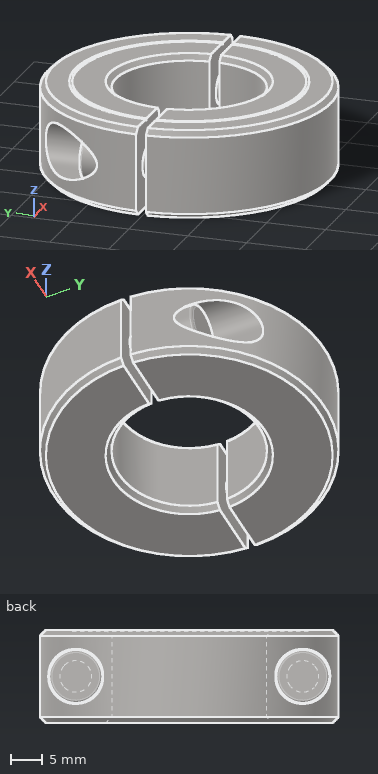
import cadquery as cq

OUTER_RADIUS = 24.0
BORE_RADIUS = 12.5
WIDTH = 15.0
EDGE_CHAMFER = 0.95
SPLIT_GAP = 1.7

GROOVE_CENTER_RADIUS = 19.05
GROOVE_PROFILE_RADIUS = 0.25

SCREW_OFFSET = 18.25
SHANK_RADIUS = 2.55
SHANK_LENGTH = 16.0
HEAD_RADIUS = 4.25
HEAD_LENGTH = 5.0
HEAD_FILLET = 0.45
HEAD_TOP_Y = 11.1
POCKET_RADIUS = 4.4

HEAD_SEAT_Y = HEAD_TOP_Y - HEAD_LENGTH
SHANK_END_Y = HEAD_SEAT_Y - SHANK_LENGTH
SCREW_SIDES = (-1, 1)


def rod_along_y(side, radius, start_y, end_y):
    """Cylinder on the axis of one screw, between two Y positions."""
    plane = cq.Plane(origin=(side * SCREW_OFFSET, start_y, 0), xDir=(1, 0, 0), normal=(0, 1, 0))
    return cq.Workplane(plane).circle(radius).extrude(end_y - start_y)


def make_ring():
    """Whole collar before splitting: chamfered ring with the top groove."""
    ring = (
        cq.Workplane("XY")
        .circle(OUTER_RADIUS)
        .circle(BORE_RADIUS)
        .extrude(WIDTH / 2, both=True)
        .faces("<Z or >Z")
        .edges()
        .chamfer(EDGE_CHAMFER)
    )
    groove = (
        cq.Workplane("XZ")
        .center(GROOVE_CENTER_RADIUS, WIDTH / 2)
        .circle(GROOVE_PROFILE_RADIUS)
        .revolve(360, (-GROOVE_CENTER_RADIUS, 0, 0), (-GROOVE_CENTER_RADIUS, 1, 0))
    )
    return ring.cut(groove)


def make_half(side_y):
    """Part of the ring on one side of the gap; side_y is the sign of its Y."""
    depth = OUTER_RADIUS - SPLIT_GAP / 2
    center_y = side_y * (OUTER_RADIUS + SPLIT_GAP / 2) / 2
    keep = cq.Workplane("XY").box(2 * OUTER_RADIUS, depth, WIDTH).translate((0, center_y, 0))
    return make_ring().intersect(keep)


def make_head_half():
    """+Y half: shank holes and open pockets for the screw heads."""
    half = make_half(1)
    for side in SCREW_SIDES:
        half = half.cut(rod_along_y(side, SHANK_RADIUS, 0, HEAD_SEAT_Y))
        half = half.cut(rod_along_y(side, POCKET_RADIUS, HEAD_SEAT_Y, OUTER_RADIUS))
    return half


def make_threaded_half():
    """-Y half: blind holes that receive the screw shanks."""
    half = make_half(-1)
    for side in SCREW_SIDES:
        half = half.cut(rod_along_y(side, SHANK_RADIUS, SHANK_END_Y, 0))
    return half


def make_screw(side):
    """Cap screw with a round-edged cylindrical head."""
    head = rod_along_y(side, HEAD_RADIUS, HEAD_SEAT_Y, HEAD_TOP_Y).faces(">Y").edges().fillet(HEAD_FILLET)
    shank = rod_along_y(side, SHANK_RADIUS, SHANK_END_Y, HEAD_SEAT_Y)
    return head.union(shank)


head_half = make_head_half()
threaded_half = make_threaded_half()
screws = [make_screw(side).solids().val() for side in SCREW_SIDES]

result = cq.Compound.makeCompound([head_half.solids().val(), threaded_half.solids().val(), *screws])